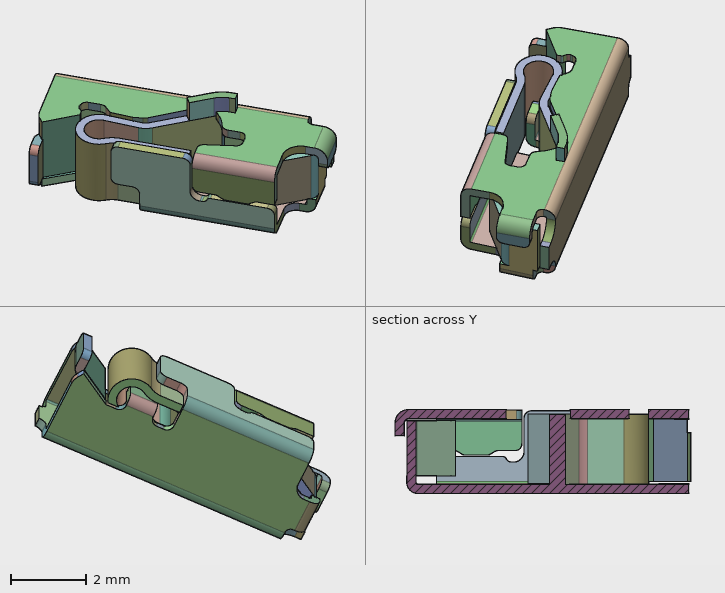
import cadquery as cq
import math


LENGTH = 8.0
DEPTH = 2.7
BODY_HEIGHT = 2.275
SHEET = 0.25
BEND_OUTER = 0.3
BEND_INNER = BEND_OUTER - SHEET
PLATE_TILT = 1.2
BODY_LEFT = 0.2
WALL_RIGHT = 7.18
FRONT_RIGHT = 6.9
MID_Z = BODY_HEIGHT / 2
PLATE_BACK = DEPTH - BEND_OUTER
TILT_SLOPE = math.tan(math.radians(PLATE_TILT))
FRONT_RISE = PLATE_BACK * TILT_SLOPE
PLATE_ZONE = FRONT_RISE + BEND_OUTER

WALL_TAB_WIDTH = 0.8
LEFT_TAB_FLARE = BODY_LEFT
RIGHT_TAB_END = 7.8
RIGHT_TAB_FLARE = 0.43

GUIDE_ANGLE = 31.6
GUIDE_SLOPE = math.tan(math.radians(GUIDE_ANGLE))
GUIDE_CORNER = (0.375, 0.47)
GUIDE_LENGTH = 1.05
GUIDE_BOTTOM = 0.34
GUIDE_HEEL = (BODY_LEFT, 0.73)
GUIDE_HEEL_RADIUS = 0.44
LIP_LEFT = 0.15
LIP_TOP = 1.64
LIP_CORNER = 0.2

TAB_FRONT = 1.3
TAB_BACK = 2.22
TAB_BACK_RELIEF = 0.15
TOP_TAB_BEND = 0.36
TOP_TAB_BOTTOM = 1.55
TOP_TAB_CORNER = 0.2
TOP_TAB_RELIEF = 0.5
BOTTOM_TAB_RIGHT = 7.69
BOTTOM_TAB_RELIEF = 0.33
EXIT_LEFT = 6.52
EXIT_FRONT = 1.4
EXIT_BACK = 2.35
EXIT_BOTTOM = 0.49
EXIT_TOP = 1.96

WALL_A_LEFT = 2.4
WALL_A_FOOT = 3.19
WALL_A_SHOULDER = 4.58
WALL_A_TOP = 2.22
WALL_A_STEP = 0.95
WALL_A_LOW_TOP = 1.01
WALL_CORNER = 0.2
NOTCH_DEPTH = 0.15
NOTCH_WIDTH = 0.42
NOTCH_RADIUS = 0.27
NOTCH_EXIT_RUN = 0.08
NOTCH_EXIT_RADII = (0.15, 0.1)

WALL_B_LEFT = 4.63
WALL_B_BOTTOM = 1.16
WALL_B_CORNER = 0.18
BUMP_CENTRE = 5.845
BUMP_TIP_WIDTH = 0.67
BUMP_ROOT_WIDTH = 1.07
BUMP_DEPTH = 0.12
BUMP_RADIUS = 0.15

BOTTOM_EDGE_Y = 1.03
BOTTOM_EDGE_LEFT = 1.29
LUG_LEFT = 1.79
LUG_RIGHT = 2.58
LUG_FRONT = 0.55
LUG_TOP = 1.0
LUG_BEND = 0.27
LUG_BEND_BACK = LUG_FRONT + LUG_BEND
LUG_CORNER = 0.2

SPRING_SHEET = 0.23
SPRING_BOTTOM = 0.2
SPRING_TOP = 2.13
FINGER_TOP = 2.75
LEAF_RIGHT = 4.47
LEAF_Y = SHEET + SPRING_SHEET / 2
COIL_CENTRE = (1.89, 0.70)
COIL_RADIUS = 0.515
COIL_LEAD_RADIUS = 0.7
ARM_ANGLE = -3.4
ARM_BEND = (3.04, 1.145)
ARM_BEND_RADIUS = 0.5
RAMP_ANGLE = 32.0
RAMP_SLOPE = math.tan(math.radians(RAMP_ANGLE))
RAMP_RIGHT = 4.87
FINGER_OFFSET = 1.18
TIP_Y = 2.265
TIP_RIGHT = 5.235
TIP_BEND = (ARM_BEND[0] + (TIP_Y - ARM_BEND[1]) / RAMP_SLOPE, TIP_Y)
TIP_BEND_RADIUS = 0.85

RELIEF_LEFT = 1.15
RELIEF_NECK_Y = 1.17
RELIEF_WAIST_Y = 1.32
RELIEF_BACK = 1.57
RELIEF_CORNERS = (1.22, 1.79)
RELIEF_MOUTH = 2.02
RELIEF_RADIUS_LEFT = 0.1
RELIEF_RADII_BACK = (0.18, 0.22)
ARM_EDGE = (2.65, 1.28)
SLOT_GAP = 0.07
SLOT_BEND_RADIUS = 0.3
SLOT_SETBACK = 0.3
WINDOW_START = (4.75, 2.05)
WINDOW_KNEE = (4.95, 1.80)
WINDOW_KNEE_RADIUS = 0.9
WINDOW_NECK = (5.09, 1.42)
WINDOW_NECK_RADIUS = 0.2
WINDOW_RIGHT = 5.75
WINDOW_FRONT_RIGHT_Y = 0.88
WINDOW_FRONT_LEFT_Y = 0.65
WINDOW_CORNER = 0.18

SHORTEST_EDGE = 1e-6


def rounded_outline(plane, corners):
    """Closed outline through (u, v, radius) corners; radius 0 leaves the corner sharp."""
    count = len(corners)
    ends = []
    for i, (u, v, radius) in enumerate(corners):
        here = cq.Vector(u, v)
        back = (cq.Vector(*corners[i - 1][:2]) - here).normalized()
        ahead = (cq.Vector(*corners[(i + 1) % count][:2]) - here).normalized()
        half = back.getAngle(ahead) / 2
        reach = radius / math.tan(half)
        middle = here
        if radius:
            bisector = (back + ahead).normalized()
            middle = here + bisector * (radius / math.sin(half) - radius)
        ends.append((here + back * reach, middle, here + ahead * reach, radius))
    last = ends[0][2]
    outline = cq.Workplane(plane).moveTo(last.x, last.y)
    for start, middle, end, radius in ends[1:] + ends[:1]:
        if (start - last).Length > SHORTEST_EDGE:
            outline = outline.lineTo(start.x, start.y)
        if radius:
            outline = outline.threePointArc((middle.x, middle.y), (end.x, end.y))
        last = end
    return outline.close()


def plan_prism(corners, bottom, top):
    return rounded_outline("XY", corners).extrude(top - bottom).translate((0, 0, bottom))


def front_prism(corners, front, back):
    return rounded_outline("XZ", corners).extrude(front - back).translate((0, front, 0))


def block(x0, x1, y0, y1, z0, z1):
    return cq.Workplane("XY").box(x1 - x0, y1 - y0, z1 - z0, centered=False).translate((x0, y0, z0))


def along(point, angle, distance):
    """Point reached from `point` by going `distance` in the plan direction `angle` (degrees)."""
    turn = math.radians(angle)
    return (point[0] + distance * math.cos(turn), point[1] + distance * math.sin(turn))


GUIDE_END = along(GUIDE_CORNER, GUIDE_ANGLE, GUIDE_LENGTH)


def folded_tube():
    """Closed sheet tube; every body wall is a trimmed piece of it."""
    near, far = SHEET, DEPTH - SHEET
    back_drop = (DEPTH - PLATE_BACK) * TILT_SLOPE
    outer = [
        (0, FRONT_RISE, BEND_OUTER),
        (DEPTH, -back_drop, BEND_OUTER),
        (DEPTH, BODY_HEIGHT + back_drop, BEND_OUTER),
        (0, BODY_HEIGHT - FRONT_RISE, BEND_OUTER),
    ]
    near_z = SHEET + (PLATE_BACK - near) * TILT_SLOPE
    far_z = SHEET + (PLATE_BACK - far) * TILT_SLOPE
    inner = [
        (near, near_z, BEND_INNER),
        (far, far_z, BEND_INNER),
        (far, BODY_HEIGHT - far_z, BEND_INNER),
        (near, BODY_HEIGHT - near_z, BEND_INNER),
    ]
    tube = rounded_outline("YZ", outer).extrude(LENGTH)
    return tube.cut(rounded_outline("YZ", inner).extrude(LENGTH))


def back_wall(tube):
    low = MID_Z - WALL_TAB_WIDTH / 2
    high = MID_Z + WALL_TAB_WIDTH / 2
    outline = [
        (BODY_LEFT, -SHEET, 0),
        (WALL_RIGHT, -SHEET, 0),
        (WALL_RIGHT, low, RIGHT_TAB_FLARE),
        (RIGHT_TAB_END, low, 0),
        (RIGHT_TAB_END, high, 0),
        (WALL_RIGHT, high, RIGHT_TAB_FLARE),
        (WALL_RIGHT, BODY_HEIGHT + SHEET, 0),
        (BODY_LEFT, BODY_HEIGHT + SHEET, 0),
        (BODY_LEFT, high, LEFT_TAB_FLARE),
        (0, high, 0),
        (0, low, 0),
        (BODY_LEFT, low, LEFT_TAB_FLARE),
    ]
    return tube.intersect(front_prism(outline, PLATE_BACK, DEPTH))


def right_end_corners(tab_root, relief):
    """Plan corners shared by both plates, from the front wall round to the back bend."""
    return [
        (FRONT_RIGHT, BEND_OUTER, 0),
        (FRONT_RIGHT, TAB_FRONT, relief),
        (tab_root, TAB_FRONT, 0),
        (tab_root, TAB_BACK, 0),
        (WALL_RIGHT, TAB_BACK, TAB_BACK_RELIEF),
        (WALL_RIGHT, PLATE_BACK, 0),
    ]


def top_plate(tube):
    slot_offset = SPRING_SHEET / 2 + SLOT_GAP
    slot_bend = along(ARM_BEND, RAMP_ANGLE / 2 + 90, slot_offset)
    slot_end = along(TIP_BEND, RAMP_ANGLE + 90, slot_offset)
    slot_end = along(slot_end, RAMP_ANGLE + 180, SLOT_SETBACK)
    outline = [
        (BODY_LEFT, PLATE_BACK, 0),
        (*GUIDE_HEEL, GUIDE_HEEL_RADIUS),
        (*GUIDE_CORNER, 0),
        (*GUIDE_END, 0),
        (GUIDE_END[0], RELIEF_NECK_Y, RELIEF_RADIUS_LEFT),
        (RELIEF_LEFT, RELIEF_WAIST_Y, RELIEF_RADIUS_LEFT),
        (RELIEF_CORNERS[0], RELIEF_BACK, RELIEF_RADII_BACK[0]),
        (RELIEF_CORNERS[1], RELIEF_BACK, RELIEF_RADII_BACK[1]),
        (RELIEF_MOUTH, RELIEF_WAIST_Y, 0),
        (*ARM_EDGE, 0),
        (*slot_bend, SLOT_BEND_RADIUS),
        (*slot_end, 0),
        (*WINDOW_START, 0),
        (*WINDOW_KNEE, WINDOW_KNEE_RADIUS),
        (*WINDOW_NECK, WINDOW_NECK_RADIUS),
        (WINDOW_RIGHT, WINDOW_NECK[1], WINDOW_CORNER),
        (WINDOW_RIGHT, WINDOW_FRONT_RIGHT_Y, WINDOW_CORNER),
        (WALL_B_LEFT, WINDOW_FRONT_LEFT_Y, WINDOW_CORNER),
        (WALL_B_LEFT, BEND_OUTER, 0),
        *right_end_corners(LENGTH - TOP_TAB_BEND, TOP_TAB_RELIEF),
    ]
    return tube.intersect(plan_prism(outline, BODY_HEIGHT - PLATE_ZONE, BODY_HEIGHT))


def bottom_plate(tube):
    outline = [
        (BODY_LEFT, PLATE_BACK, 0),
        (*GUIDE_HEEL, GUIDE_HEEL_RADIUS),
        (*GUIDE_CORNER, 0),
        (BOTTOM_EDGE_LEFT, BOTTOM_EDGE_Y, 0),
        (LUG_LEFT, BOTTOM_EDGE_Y, WALL_CORNER),
        (LUG_LEFT, LUG_BEND_BACK, 0),
        (LUG_RIGHT, LUG_BEND_BACK, 0),
        (LUG_RIGHT, BOTTOM_EDGE_Y, WALL_CORNER),
        (WALL_A_FOOT, BOTTOM_EDGE_Y, WALL_CORNER),
        (WALL_A_FOOT, BEND_OUTER, 0),
        *right_end_corners(BOTTOM_TAB_RIGHT - BEND_OUTER, BOTTOM_TAB_RELIEF),
    ]
    return tube.intersect(plan_prism(outline, 0, PLATE_ZONE))


def bent_up_strip(plane, run_start, edge, top, bend):
    """Flat strip from `run_start` turning up at `edge`, as an L-shaped outline."""
    way = math.copysign(1, edge - run_start)
    return rounded_outline(plane, [
        (run_start, 0, 0),
        (edge, 0, bend),
        (edge, top, 0),
        (edge - way * SHEET, top, 0),
        (edge - way * SHEET, SHEET, bend - SHEET),
        (run_start, SHEET, 0),
    ])


def coil_lug():
    lug = bent_up_strip("YZ", LUG_BEND_BACK, LUG_FRONT, LUG_TOP, LUG_BEND)
    lug = lug.extrude(LUG_RIGHT - LUG_LEFT).translate((LUG_LEFT, 0, 0))
    lug = lug.edges("|Y and >Z").fillet(LUG_CORNER)
    return lug.translate((0, 0, (PLATE_BACK - LUG_BEND_BACK) * TILT_SLOPE))


def bottom_stop_tab():
    tab = bent_up_strip("XZ", BOTTOM_TAB_RIGHT - BEND_OUTER, BOTTOM_TAB_RIGHT, MID_Z, BEND_OUTER)
    tab = tab.extrude(-DEPTH).rotate((0, PLATE_BACK, 0), (1, PLATE_BACK, 0), -PLATE_TILT)
    return tab.intersect(block(0, LENGTH, TAB_FRONT, TAB_BACK, 0, EXIT_BOTTOM))


def exit_guide():
    """Slanted blade running forwards and left from an upright on the bottom stop tab."""
    bend = (BOTTOM_TAB_RIGHT, EXIT_FRONT)
    run = (BOTTOM_TAB_RIGHT - EXIT_LEFT) / math.cos(math.radians(GUIDE_ANGLE))
    outer_start = along(bend, GUIDE_ANGLE + 180, run)
    inner_start = along(outer_start, GUIDE_ANGLE + 90, SHEET)
    upright_left = BOTTOM_TAB_RIGHT - SHEET
    inner_bend_y = inner_start[1] + (upright_left - inner_start[0]) * GUIDE_SLOPE
    outline = [
        (*outer_start, 0),
        (*bend, BEND_OUTER),
        (BOTTOM_TAB_RIGHT, EXIT_BACK, 0),
        (upright_left, EXIT_BACK, 0),
        (upright_left, inner_bend_y, BEND_INNER),
        (*inner_start, 0),
    ]
    return plan_prism(outline, EXIT_BOTTOM, EXIT_TOP)


def top_stop_tab():
    tab = bent_up_strip("XZ", LENGTH - TOP_TAB_BEND, LENGTH, BODY_HEIGHT, TOP_TAB_BEND)
    tab = tab.extrude(-DEPTH).mirror("XY").translate((0, 0, BODY_HEIGHT))
    tab = tab.rotate((0, PLATE_BACK, BODY_HEIGHT), (1, PLATE_BACK, BODY_HEIGHT), PLATE_TILT)
    envelope = block(0, LENGTH, TAB_FRONT, TAB_BACK, TOP_TAB_BOTTOM, BODY_HEIGHT)
    return tab.intersect(envelope.edges("|X and <Z").fillet(TOP_TAB_CORNER))


def entry_guide():
    """Slanted flange below the top plate, turning forwards into a rounded lip."""
    inner_end = along(GUIDE_END, GUIDE_ANGLE + 90, SHEET)
    inner_left = along(inner_end, GUIDE_ANGLE + 180, 2 * GUIDE_LENGTH)
    outer_left = along(GUIDE_END, GUIDE_ANGLE + 180, 2 * GUIDE_LENGTH)
    top = BODY_HEIGHT - SHEET
    blade = plan_prism(
        [(*outer_left, 0), (*GUIDE_END, 0), (*inner_end, 0), (*inner_left, 0)], GUIDE_BOTTOM, top
    )
    body_corner = [
        (BODY_LEFT, PLATE_BACK, 0),
        (*GUIDE_HEEL, GUIDE_HEEL_RADIUS),
        (*GUIDE_CORNER, 0),
        (*GUIDE_END, 0),
        (GUIDE_END[0], PLATE_BACK, 0),
    ]
    blade = blade.intersect(plan_prism(body_corner, 0, BODY_HEIGHT))
    lip_right = LIP_LEFT + SHEET
    lip_outline = [
        (LIP_LEFT, 0, 0),
        (lip_right, 0, 0),
        (lip_right, GUIDE_END[1] - (GUIDE_END[0] - lip_right) * GUIDE_SLOPE, 0),
        (*GUIDE_END, 0),
        (*inner_end, 0),
        (LIP_LEFT, inner_end[1] - (inner_end[0] - LIP_LEFT) * GUIDE_SLOPE, BEND_OUTER),
    ]
    lip = plan_prism(lip_outline, GUIDE_BOTTOM, LIP_TOP)
    lip = lip.edges("|X and <Y").fillet(LIP_CORNER)
    return blade.union(lip)


def front_wall_a(tube):
    notch_floor = WALL_A_LOW_TOP - NOTCH_DEPTH
    notch_right = WALL_A_SHOULDER + NOTCH_WIDTH
    outline = [
        (WALL_A_LEFT, WALL_A_TOP, WALL_CORNER),
        (WALL_A_SHOULDER, WALL_A_TOP, WALL_CORNER),
        (WALL_A_SHOULDER, notch_floor, NOTCH_RADIUS),
        (notch_right, notch_floor, NOTCH_EXIT_RADII[0]),
        (notch_right + NOTCH_EXIT_RUN, WALL_A_LOW_TOP, NOTCH_EXIT_RADII[1]),
        (FRONT_RIGHT, WALL_A_LOW_TOP, WALL_CORNER),
        (FRONT_RIGHT, PLATE_ZONE, 0),
        (WALL_A_FOOT, PLATE_ZONE, 0),
        (WALL_A_FOOT, WALL_A_STEP, WALL_CORNER),
        (WALL_A_LEFT, WALL_A_STEP, WALL_CORNER),
    ]
    bend = tube.intersect(block(WALL_A_FOOT, FRONT_RIGHT, 0, BEND_OUTER, 0, PLATE_ZONE))
    return front_prism(outline, 0, SHEET).union(bend)


def front_wall_b(tube):
    outline = [
        (WALL_B_LEFT, BODY_HEIGHT, 0),
        (FRONT_RIGHT, BODY_HEIGHT, 0),
        (FRONT_RIGHT, WALL_B_BOTTOM, 0),
        (BUMP_CENTRE + BUMP_ROOT_WIDTH / 2, WALL_B_BOTTOM, BUMP_RADIUS),
        (BUMP_CENTRE + BUMP_TIP_WIDTH / 2, WALL_B_BOTTOM - BUMP_DEPTH, BUMP_RADIUS),
        (BUMP_CENTRE - BUMP_TIP_WIDTH / 2, WALL_B_BOTTOM - BUMP_DEPTH, BUMP_RADIUS),
        (BUMP_CENTRE - BUMP_ROOT_WIDTH / 2, WALL_B_BOTTOM, BUMP_RADIUS),
        (WALL_B_LEFT, WALL_B_BOTTOM, WALL_B_CORNER),
    ]
    return tube.intersect(front_prism(outline, 0, BEND_OUTER))


def spring_band(start, heading, path, bottom, top):
    """Upright strip of spring sheet following `path`, which leaves `start` in direction `heading`."""
    towards = along((0, 0), heading, 1)
    plane = cq.Plane(origin=(*start, bottom), xDir=(0, 0, 1), normal=(*towards, 0))
    height = top - bottom
    section = cq.Workplane(plane).center(height / 2, 0).rect(height, SPRING_SHEET)
    return section.sweep(path.translate((0, 0, bottom)))


def spring_strip():
    """Full-width strip: leaf behind the front wall, coil, arm and ramp."""
    lead_dy = LEAF_Y - COIL_LEAD_RADIUS - COIL_CENTRE[1]
    lead_dx = math.sqrt((COIL_RADIUS + COIL_LEAD_RADIUS) ** 2 - lead_dy ** 2)
    lead_centre = (COIL_CENTRE[0] + lead_dx, COIL_CENTRE[1] + lead_dy)
    lead_angle = math.degrees(math.atan2(lead_dy, lead_dx))
    lead_middle = along(lead_centre, (90 + lead_angle + 180) / 2, COIL_LEAD_RADIUS)
    coil_start = along(COIL_CENTRE, lead_angle, COIL_RADIUS)
    coil_left = along(COIL_CENTRE, 180, COIL_RADIUS)
    coil_end = along(COIL_CENTRE, 90 + ARM_ANGLE, COIL_RADIUS)
    bend_reach = ARM_BEND_RADIUS * math.tan(math.radians((RAMP_ANGLE - ARM_ANGLE) / 2))
    path = (
        cq.Workplane("XY")
        .moveTo(LEAF_RIGHT, LEAF_Y)
        .lineTo(lead_centre[0], LEAF_Y)
        .threePointArc(lead_middle, coil_start)
        .threePointArc(coil_left, coil_end)
        .lineTo(*along(ARM_BEND, 180 + ARM_ANGLE, bend_reach))
        .tangentArcPoint(along(ARM_BEND, RAMP_ANGLE, bend_reach), relative=False)
        .lineTo(*along(TIP_BEND, RAMP_ANGLE, SPRING_SHEET))
    )
    strip = spring_band((LEAF_RIGHT, LEAF_Y), 180, path, SPRING_BOTTOM, SPRING_TOP)
    return strip.intersect(block(0, RAMP_RIGHT, 0, DEPTH, SPRING_BOTTOM, SPRING_TOP))


def spring_finger():
    """Contact finger rising from the ramp through the top plate and levelling out at its tip."""
    start = along(ARM_BEND, RAMP_ANGLE, FINGER_OFFSET)
    bend_reach = TIP_BEND_RADIUS * math.tan(math.radians(RAMP_ANGLE / 2))
    path = (
        cq.Workplane("XY")
        .moveTo(*start)
        .lineTo(*along(TIP_BEND, RAMP_ANGLE + 180, bend_reach))
        .tangentArcPoint(along(TIP_BEND, 0, bend_reach), relative=False)
        .lineTo(TIP_RIGHT, TIP_Y)
    )
    return spring_band(start, RAMP_ANGLE, path, SPRING_TOP, FINGER_TOP)


tube = folded_tube()
result = back_wall(tube)
for piece in (
    top_plate(tube),
    bottom_plate(tube),
    coil_lug(),
    bottom_stop_tab(),
    exit_guide(),
    top_stop_tab(),
    entry_guide(),
    front_wall_a(tube),
    front_wall_b(tube),
    spring_strip(),
    spring_finger(),
):
    result = result.union(piece)
result = result.clean()